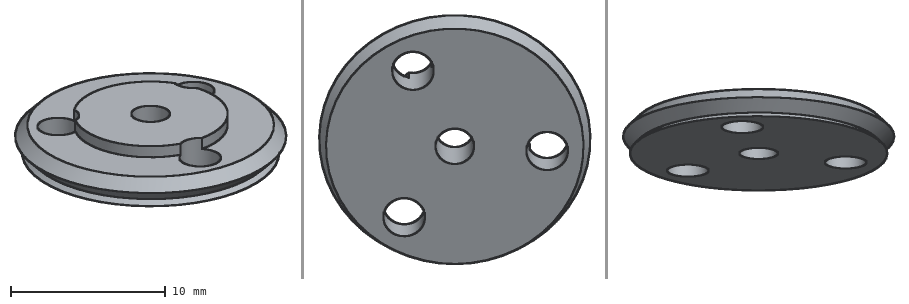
import cadquery as cq

rim_diameter = 17.6
face_diameter = 16.0
lip_diameter = 16.7
overall_height = 2.75
boss_diameter = 10.0
center_hole_diameter = 2.5
outer_hole_diameter = 2.7
outer_hole_circle_radius = 6.0
outer_hole_count = 3
first_hole_angle = 90.0

rim_radius = rim_diameter / 2
face_radius = face_diameter / 2
lip_radius = lip_diameter / 2
bevel_height = rim_radius - face_radius
lip_height = lip_radius - face_radius

rim_level = lip_height + bevel_height
face_level = rim_level + bevel_height
boss_height = overall_height - face_level


def make_disc():
    """Revolve the double-bevelled rim with the flared lip below it."""
    return (
        cq.Workplane("XZ")
        .moveTo(0, 0)
        .lineTo(lip_radius, 0)
        .lineTo(face_radius, lip_height)
        .lineTo(rim_radius, rim_level)
        .lineTo(face_radius, face_level)
        .lineTo(0, face_level)
        .close()
        .revolve(360, (0, 0, 0), (0, 1, 0))
    )


def make_boss():
    """Raised round boss on the top face."""
    return (
        cq.Workplane("XY")
        .workplane(offset=face_level)
        .circle(boss_diameter / 2)
        .extrude(boss_height)
    )


def make_center_hole():
    return cq.Workplane("XY").circle(center_hole_diameter / 2).extrude(overall_height)


def make_outer_holes():
    """Evenly spaced through holes that also notch the edge of the boss."""
    return (
        cq.Workplane("XY")
        .polarArray(outer_hole_circle_radius, first_hole_angle, 360, outer_hole_count)
        .circle(outer_hole_diameter / 2)
        .extrude(overall_height)
    )


result = make_disc().union(make_boss()).cut(make_center_hole()).cut(make_outer_holes())